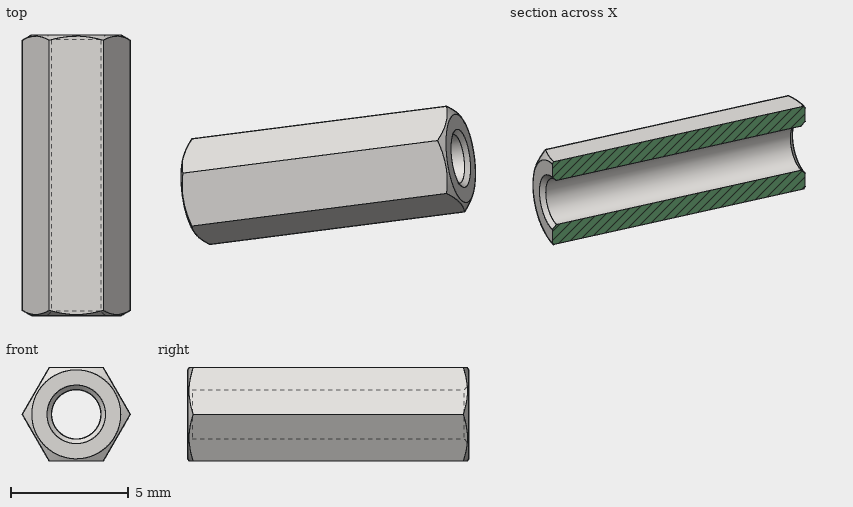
import cadquery as cq
import math

side_count = 6
across_flats = 4.0
length = 12.0
bore_diameter = 2.1
countersink_diameter = 2.5
countersink_half_angle = 45.0
end_face_diameter = 3.8
end_chamfer_angle = 30.0

across_corners = across_flats / math.cos(math.pi / side_count)
half_length = length / 2
corner_radius = across_corners / 2
end_face_radius = end_face_diameter / 2
chamfer_depth = (corner_radius - end_face_radius) * math.tan(math.radians(end_chamfer_angle))
bore_radius = bore_diameter / 2
countersink_radius = countersink_diameter / 2
countersink_depth = (countersink_radius - bore_radius) / math.tan(math.radians(countersink_half_angle))


def hexagonal_bar():
    """Hexagonal bar along Y, centred on the origin, with flats facing up and down."""
    return cq.Workplane("XZ").polygon(side_count, across_corners).extrude(half_length, both=True)


def cone_ended_cylinder(body_radius, end_radius, cone_depth):
    """Full-length cylinder about Y with a conical stretch at each end."""
    cone_start = half_length - cone_depth
    half_profile = [
        (0, -half_length),
        (end_radius, -half_length),
        (body_radius, -cone_start),
        (body_radius, cone_start),
        (end_radius, half_length),
        (0, half_length),
    ]
    return cq.Workplane("XY").polyline(half_profile).close().revolve(360, (0, 0), (0, 1))


chamfer_envelope = cone_ended_cylinder(corner_radius, end_face_radius, chamfer_depth)

countersunk_bore = cone_ended_cylinder(bore_radius, countersink_radius, countersink_depth)

result = hexagonal_bar().intersect(chamfer_envelope).cut(countersunk_bore)